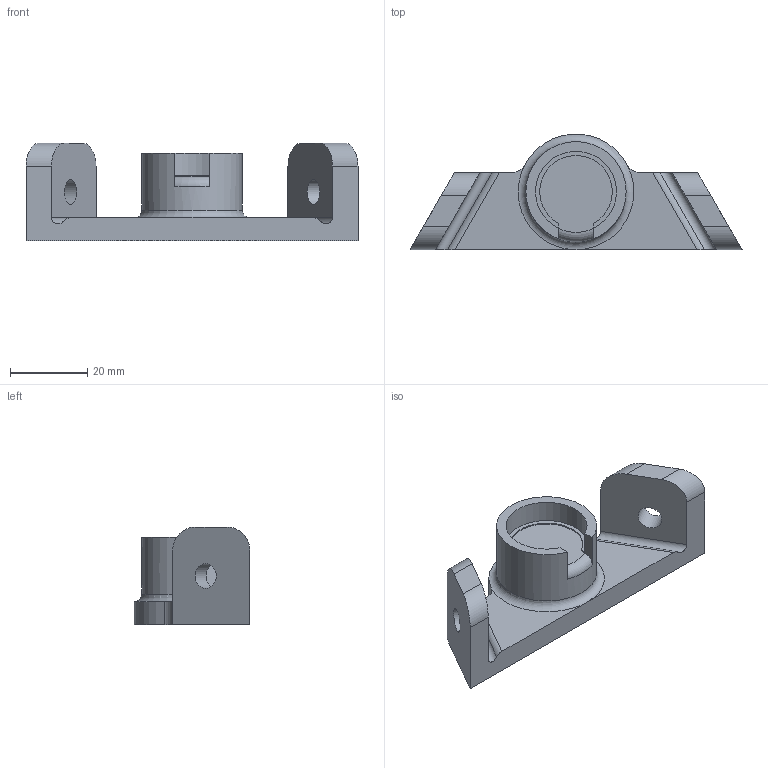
import cadquery as cq
import math

front_width = 86.06
depth = 20.0
plate_thickness = 6.0
pad_radius = 15.0
pad_center_y = pad_radius
pad_blend_radius = 4.0

ear_slant = 30.0
ear_height = 25.4
ear_thickness = 5.72
ear_corner_radius = 6.0
ear_hole_diameter = 6.35
ear_hole_height = ear_height / 2

groove_radius = 1.5
groove_lip_radius = 2.0

cup_radius = 13.0
cup_top = 22.7
cup_foot_radius = pad_radius - cup_radius
bore_radius = 10.5
bore_floor = 16.9
recess_radius = 9.4
recess_floor = 16.6
slot_width = 9.1

foot_top = plate_thickness + cup_foot_radius
rim_radius = cup_radius - bore_radius
slant_slope = math.tan(math.radians(ear_slant))
half_front = front_width / 2
half_back = half_front - depth * slant_slope
ear_run = ear_thickness / math.cos(math.radians(ear_slant))


def polar(center, radius, angle):
    """Point on a circle, with the angle in radians."""
    return center[0] + radius * math.cos(angle), center[1] + radius * math.sin(angle)


def with_mirror(right_side):
    """The right-hand feature together with its left-hand twin."""
    return right_side.union(right_side.mirror("YZ"))


def cup_cylinder(radius, bottom, top):
    """Cylinder on the cup axis between two heights."""
    base = cq.Workplane("XY", origin=(0, pad_center_y, bottom))
    return base.circle(radius).extrude(top - bottom)


def make_plate():
    """Trapezoid plus pad, with the two inner corners at the back edge blended."""
    outline = [(-half_front, 0), (half_front, 0), (half_back, depth), (-half_back, depth)]
    plate = cq.Workplane("XY").polyline(outline).close().extrude(plate_thickness)
    plate = plate.union(cup_cylinder(pad_radius, 0, plate_thickness))
    corner_x = math.sqrt(pad_radius**2 - (depth - pad_center_y) ** 2)
    for x in (-corner_x, corner_x):
        corner = cq.selectors.NearestToPointSelector((x, depth, plate_thickness / 2))
        plate = plate.edges("|Z").edges(corner).fillet(pad_blend_radius)
    return plate


def make_right_ear():
    """Slanted wall whose top corners are rounded about axes along X."""
    footprint = [
        (half_front - ear_run, 0),
        (half_front, 0),
        (half_back, depth),
        (half_back - ear_run, depth),
    ]
    ear = cq.Workplane("XY").polyline(footprint).close().extrude(ear_height)
    return ear.faces(">Z").edges("|X").fillet(ear_corner_radius)


def make_right_hole():
    """Cylinder square to the right ear, centred in its thickness and depth."""
    center_x = (half_front + half_back - ear_run) / 2
    hole_length = 2 * ear_thickness
    hole = cq.Workplane("YZ", origin=(-hole_length / 2, 0, 0))
    hole = hole.circle(ear_hole_diameter / 2).extrude(hole_length)
    hole = hole.rotate((0, 0, 0), (0, 0, 1), ear_slant)
    return hole.translate((center_x, depth / 2, ear_hole_height))


def make_right_groove():
    """Round channel tangent to the ear, with a convex lip running into the plate top."""
    channel_center = (groove_radius, plate_thickness)
    center_distance = groove_radius + groove_lip_radius
    lip_angle = math.asin(groove_lip_radius / center_distance)
    lip_center = polar(channel_center, center_distance, -lip_angle)
    lip_start = polar(channel_center, groove_radius, -lip_angle)
    lip_middle_angle = math.pi - (lip_angle + math.pi / 2) / 2
    section = cq.Plane(
        origin=(half_front - ear_run, 0, 0),
        xDir=(-1, 0, 0),
        normal=(0, 1, 0),
    ).rotated((0, ear_slant, 0))
    return (
        cq.Workplane(section)
        .moveTo(0, plate_thickness)
        .threePointArc(polar(channel_center, groove_radius, -math.pi / 2), lip_start)
        .threePointArc(
            polar(lip_center, groove_lip_radius, lip_middle_angle),
            polar(lip_center, groove_lip_radius, math.pi / 2),
        )
        .close()
        .extrude(2 * depth, both=True)
    )


def make_cup_foot():
    """Concave flare from the pad edge up to the cup wall."""
    foot_middle = polar((pad_radius, foot_top), cup_foot_radius, math.radians(225))
    return (
        cq.Workplane("XZ", origin=(0, pad_center_y, 0))
        .lineTo(pad_radius, 0)
        .lineTo(pad_radius, plate_thickness)
        .threePointArc(foot_middle, (cup_radius, foot_top))
        .lineTo(0, foot_top)
        .close()
        .revolve(360, (0, 0), (0, 1))
    )


def make_cup_core():
    """Solid lower cup: flat recess floor with a rounded rim that forms the slot floor."""
    core = cup_cylinder(cup_radius, foot_top, recess_floor)
    return core.faces(">Z").edges().fillet(rim_radius)


def make_cup_wall():
    """Ring above the core, with a ledge inside and a slot that opens it to the front."""
    wall_bottom = recess_floor - rim_radius
    wall = cup_cylinder(cup_radius, wall_bottom, cup_top)
    wall = wall.cut(cup_cylinder(recess_radius, wall_bottom, cup_top))
    wall = wall.cut(cup_cylinder(bore_radius, bore_floor, cup_top))
    slot = (
        cq.Workplane("XY", origin=(0, 0, wall_bottom))
        .rect(slot_width, 2 * pad_center_y)
        .extrude(cup_top - wall_bottom)
    )
    return wall.cut(slot)


body = make_plate().union(with_mirror(make_right_ear()))
body = body.cut(with_mirror(make_right_groove()))
body = body.cut(with_mirror(make_right_hole()))
cup = make_cup_core().union(make_cup_wall())
result = body.union(make_cup_foot()).union(cup)